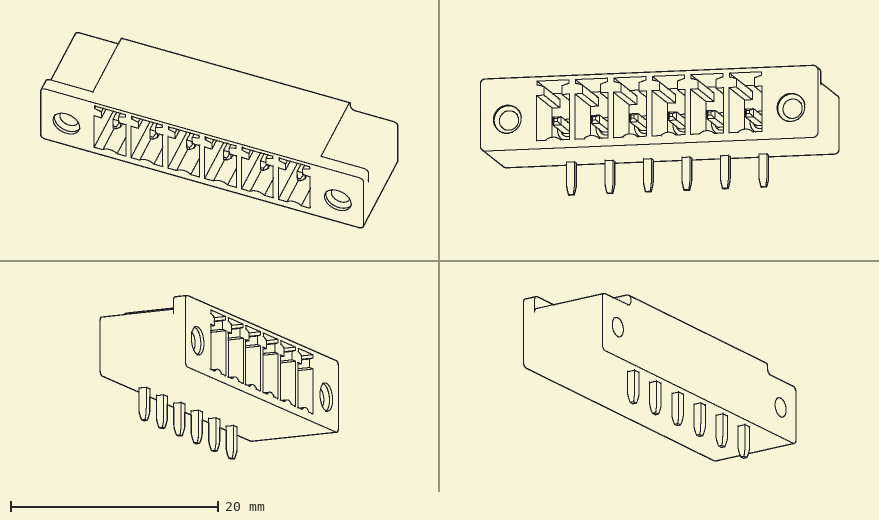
import cadquery as cq


LENGTH = 33.45
DEPTH = 9.2
HEIGHT = 7.1
EDGE_RADIUS = 0.5
FLANGE_THICKNESS = 1.3
WING_LENGTH = 4.92
WING_STEP = 1.25

SCREW_X = 14.05
SCREW_Z = 3.05
SCREW_DIAMETER = 1.9
SCREW_RECESS_DIAMETER = 2.75
SCREW_RECESS_DEPTH = 0.35
SCREW_CONE_DEPTH = 0.4

CONTACT_COUNT = 6
PITCH = 3.8
CONTACT_Z = 3.0

POCKET_DEPTH = 6.85
POCKET_WIDTH = 3.28
POCKET_FLOOR_Z = 0.8
SHOULDER_Z = 5.25
NECK_WIDTH = 1.77
NECK_TOP_Z = 6.1
KEYWAY_WIDTH = 3.18
KEYWAY_SIDE_Z = 6.32
KEYWAY_TOP_Z = 6.65
RIB_WIDTH = 1.47
RIB_HEIGHT = 0.3

COLLAR_BASE_RADIUS = 1.1
COLLAR_MIDDLE_RADIUS = 0.9
COLLAR_TIP_RADIUS = 0.7
COLLAR_BASE_HEIGHT = 0.15
COLLAR_TIP_HEIGHT = 0.25

PIN_WIDTH = 0.8
PIN_FRONT_Y = 1.25
PIN_POINT_LENGTH = 0.6
PIN_POINT_WIDTH = 0.3
LEG_BACK_GAP = 0.85
LEG_LENGTH = 3.15
LEG_TAPER_LENGTH = 0.85
LEG_ROUND_LENGTH = 1.15
LEG_TIP_WIDTH_X = 0.5
LEG_TIP_WIDTH_Y = 0.37

contact_xs = [(i - (CONTACT_COUNT - 1) / 2) * PITCH for i in range(CONTACT_COUNT)]


def extrude_back(sketch, front_y, depth):
    """Extrude an XZ sketch, drawn on the plane Y = 0, from front_y towards +Y."""
    return sketch.extrude(-depth).translate((0, front_y, 0))


def revolve_on_y(profile):
    """Revolve (radius, Y) points about the Y axis."""
    return cq.Workplane("XY").polyline(profile).close().revolve(360, (0, 0, 0), (0, 1, 0))


def make_wing_cut():
    """Material removed above the left wing, behind the flange."""
    left = -LENGTH / 2
    wall_x = left + WING_LENGTH
    wing_z = HEIGHT - WING_STEP
    sketch = (
        cq.Workplane("XZ")
        .moveTo(left, HEIGHT)
        .lineTo(wall_x, HEIGHT)
        .lineTo(wall_x, wing_z + EDGE_RADIUS)
        .radiusArc((wall_x - EDGE_RADIUS, wing_z), EDGE_RADIUS)
        .lineTo(left + EDGE_RADIUS, wing_z)
        .radiusArc((left, wing_z - EDGE_RADIUS), -EDGE_RADIUS)
        .close()
    )
    return extrude_back(sketch, FLANGE_THICKNESS, DEPTH - FLANGE_THICKNESS)


def make_block():
    """Bar with rounded long edges, lowered to a wing at each end behind the flange."""
    wing_cut = make_wing_cut()
    block = (
        cq.Workplane("XY")
        .box(LENGTH, DEPTH, HEIGHT, centered=(True, False, False))
        .edges("|Y")
        .fillet(EDGE_RADIUS)
        .cut(wing_cut)
        .cut(wing_cut.mirror("YZ"))
    )
    rear_top_edge = block.faces(">Y").edges(">Z")
    return rear_top_edge.fillet(EDGE_RADIUS)


def make_screw_hole(x):
    """Through hole that opens through a cone into a shallow cylindrical recess at the front."""
    hole_radius = SCREW_DIAMETER / 2
    recess_radius = SCREW_RECESS_DIAMETER / 2
    cone_end = SCREW_RECESS_DEPTH + SCREW_CONE_DEPTH
    profile = [
        (0, 0),
        (recess_radius, 0),
        (recess_radius, SCREW_RECESS_DEPTH),
        (hole_radius, cone_end),
        (hole_radius, DEPTH),
        (0, DEPTH),
    ]
    return revolve_on_y(profile).translate((x, 0, SCREW_Z))


def make_pocket(x):
    """Contact pocket with a keyway at the top and a rounded rib along the floor."""
    half_pocket = POCKET_WIDTH / 2
    half_neck = NECK_WIDTH / 2
    half_keyway = KEYWAY_WIDTH / 2
    half_rib = RIB_WIDTH / 2
    sketch = (
        cq.Workplane("XZ")
        .moveTo(-half_rib, POCKET_FLOOR_Z)
        .threePointArc((0, POCKET_FLOOR_Z + RIB_HEIGHT), (half_rib, POCKET_FLOOR_Z))
        .lineTo(half_pocket, POCKET_FLOOR_Z)
        .lineTo(half_pocket, SHOULDER_Z)
        .lineTo(half_neck, SHOULDER_Z)
        .lineTo(half_neck, NECK_TOP_Z)
        .lineTo(half_keyway, KEYWAY_SIDE_Z)
        .lineTo(half_keyway, KEYWAY_TOP_Z)
        .lineTo(-half_keyway, KEYWAY_TOP_Z)
        .lineTo(-half_keyway, KEYWAY_SIDE_Z)
        .lineTo(-half_neck, NECK_TOP_Z)
        .lineTo(-half_neck, SHOULDER_Z)
        .lineTo(-half_pocket, SHOULDER_Z)
        .lineTo(-half_pocket, POCKET_FLOOR_Z)
        .close()
    )
    return extrude_back(sketch, 0, POCKET_DEPTH).translate((x, 0, 0))


def make_collar(x):
    """Two stacked cones rising from the rear wall of a pocket."""
    middle_y = POCKET_DEPTH - COLLAR_BASE_HEIGHT
    tip_y = middle_y - COLLAR_TIP_HEIGHT
    profile = [
        (0, POCKET_DEPTH),
        (COLLAR_BASE_RADIUS, POCKET_DEPTH),
        (COLLAR_MIDDLE_RADIUS, middle_y),
        (COLLAR_TIP_RADIUS, tip_y),
        (0, tip_y),
    ]
    return revolve_on_y(profile).translate((x, 0, CONTACT_Z))


def make_contact_arm():
    """Horizontal square arm of a pin, with a blunt pyramid at its front end."""
    shoulder_y = PIN_FRONT_Y + PIN_POINT_LENGTH
    back_y = DEPTH - LEG_BACK_GAP
    rod = extrude_back(cq.Workplane("XZ").rect(PIN_WIDTH, PIN_WIDTH), shoulder_y, back_y - shoulder_y)
    point = (
        cq.Workplane("XZ", origin=(0, shoulder_y, 0))
        .rect(PIN_WIDTH, PIN_WIDTH)
        .workplane(offset=PIN_POINT_LENGTH)
        .rect(PIN_POINT_WIDTH, PIN_POINT_WIDTH)
        .loft(combine=True)
    )
    return rod.union(point).translate((0, 0, CONTACT_Z))


def make_leg():
    """Vertical square leg: its X sides taper straight and its Y sides curve in to the tip."""
    half = PIN_WIDTH / 2
    half_tip_x = LEG_TIP_WIDTH_X / 2
    half_tip_y = LEG_TIP_WIDTH_Y / 2
    top_z = CONTACT_Z + half
    taper_z = LEG_TAPER_LENGTH - LEG_LENGTH
    round_z = LEG_ROUND_LENGTH - LEG_LENGTH
    inset = half - half_tip_y
    round_radius = (LEG_ROUND_LENGTH**2 + inset**2) / (2 * inset)

    straight_taper = (
        cq.Workplane("XZ")
        .moveTo(-half, top_z)
        .lineTo(half, top_z)
        .lineTo(half, taper_z)
        .lineTo(half_tip_x, -LEG_LENGTH)
        .lineTo(-half_tip_x, -LEG_LENGTH)
        .lineTo(-half, taper_z)
        .close()
        .extrude(half, both=True)
    )
    curved_taper = (
        cq.Workplane("YZ")
        .moveTo(-half, top_z)
        .lineTo(half, top_z)
        .lineTo(half, round_z)
        .radiusArc((half_tip_y, -LEG_LENGTH), round_radius)
        .lineTo(-half_tip_y, -LEG_LENGTH)
        .radiusArc((-half, round_z), round_radius)
        .close()
        .extrude(half, both=True)
    )
    return straight_taper.intersect(curved_taper).translate((0, DEPTH - LEG_BACK_GAP - half, 0))


def make_pin(x):
    """L-shaped contact pin: arm in the pocket, leg below the housing."""
    return make_contact_arm().union(make_leg()).translate((x, 0, 0)).solids()


def make_housing(pins):
    """Housing with its wings, screw holes, pockets and collars, bored to fit the pins."""
    housing = make_block()
    for x in (-SCREW_X, SCREW_X):
        housing = housing.cut(make_screw_hole(x))
    for x in contact_xs:
        housing = housing.cut(make_pocket(x)).union(make_collar(x))
    for pin in pins:
        housing = housing.cut(pin)
    return housing.solids()


pins = [make_pin(x) for x in contact_xs]
housing = make_housing(pins)

pin_solids = [pin.val() for pin in pins]
result = cq.Compound.makeCompound([housing.val(), *pin_solids])